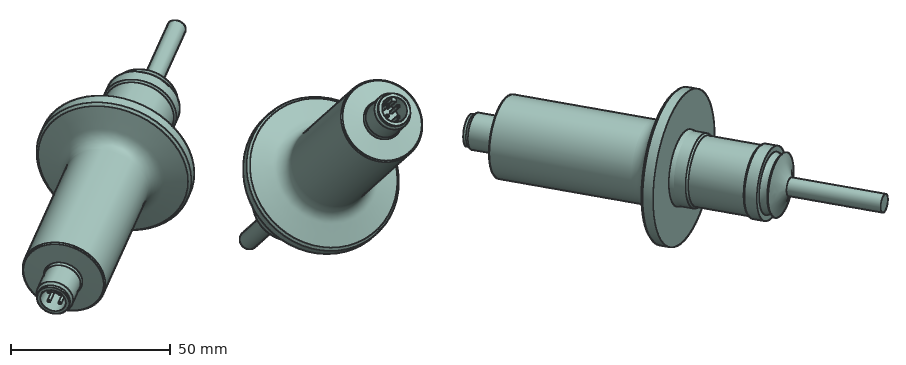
import cadquery as cq

overall_length = 140.7

mouth_radius = 10.5 / 2
thread_radius = 12.0 / 2
bore_radius = 8.3 / 2
nose_length = 1.0
thread_front_y = 2.0
thread_rear_y = 10.4
base_radius = 6.3
bore_depth = 8.5
pin_radius = 1.0 / 2
pin_circle_radius = 2.5
pin_length = 7.0
pin_count = 4
pin_first_angle = 45.0
pin_tip_chamfer = 0.1
key_width = 1.4
key_inner_radius = 2.8
key_front_y = 0.5
key_overlap = 0.4

housing_radius = 27.0 / 2
housing_edge = 0.4
housing_front_y = 12.0
face_center_y = 11.4
housing_rear_y = 60.5

flange_radius = 50.5 / 2
flange_front_y = 68.4
flange_rear_y = 72.7
flange_chamfer = 0.8
cone_small_radius = 17.5
cone_small_y = 65.8

sleeve_radius = 22.8 / 2
collar_radius = 24.0 / 2
collar_chamfer = collar_radius - sleeve_radius
root_radius = 12.4
root_front_y = 74.3
front_collar_rear_y = 79.0
rear_collar_front_y = 97.6
rear_collar_rear_y = 102.4

neck_radius = 9.7
neck_root_radius = 10.1
neck_mid_y = 103.5
lip_radius = 21.0 / 2
lip_front_y = 105.0
lip_rear_y = 105.7
cable_radius = 6.0 / 2
cable_front_y = 108.8
flare_mid_radius = 6.0
flare_mid_y = 107.0


def make_body():
    """Half outline of the turned body, from the mouth to the cable end, spun about Y."""
    outline = (
        cq.Workplane("XY")
        .moveTo(0, 0)
        .lineTo(mouth_radius, 0)
        .lineTo(mouth_radius, nose_length)
        .lineTo(thread_radius, thread_front_y)
        .lineTo(thread_radius, thread_rear_y)
        .lineTo(base_radius, face_center_y)
        .lineTo(housing_radius - housing_edge, housing_front_y)
        .lineTo(housing_radius, housing_front_y + housing_edge)
        .lineTo(housing_radius, housing_rear_y)
        .tangentArcPoint((cone_small_radius, cone_small_y), relative=False)
        .lineTo(flange_radius - flange_chamfer, flange_front_y)
        .lineTo(flange_radius, flange_front_y + flange_chamfer)
        .lineTo(flange_radius, flange_rear_y)
        .lineTo(root_radius, flange_rear_y)
        .lineTo(collar_radius, root_front_y)
        .lineTo(collar_radius, front_collar_rear_y - collar_chamfer)
        .lineTo(sleeve_radius, front_collar_rear_y)
        .lineTo(sleeve_radius, rear_collar_front_y)
        .lineTo(collar_radius, rear_collar_front_y + collar_chamfer)
        .lineTo(collar_radius, rear_collar_rear_y)
        .lineTo(neck_root_radius, rear_collar_rear_y)
        .threePointArc((neck_radius, neck_mid_y), (neck_radius, lip_front_y))
        .lineTo(lip_radius, lip_rear_y)
        .threePointArc((flare_mid_radius, flare_mid_y), (cable_radius, cable_front_y))
        .lineTo(cable_radius, overall_length)
        .lineTo(0, overall_length)
        .close()
    )
    return outline.revolve(360, (0, 0, 0), (0, 1, 0))


def make_bore():
    """Round connector socket, open at the mouth."""
    return cq.Workplane("XZ").circle(bore_radius).extrude(-bore_depth)


def make_key():
    """Coding key on the upper bore wall, running the full depth just behind the mouth."""
    key_height = bore_radius + key_overlap - key_inner_radius
    key_length = bore_depth - key_front_y
    return (
        cq.Workplane("XY", origin=(0, key_front_y, key_inner_radius))
        .box(key_width, key_length, key_height, centered=(True, False, False))
    )


def make_pins():
    """Contact pins standing on the socket floor, with chamfered tips."""
    return (
        cq.Workplane("XZ", origin=(0, bore_depth, 0))
        .polarArray(pin_circle_radius, pin_first_angle, 360, pin_count)
        .circle(pin_radius)
        .extrude(pin_length)
        .faces("<Y")
        .chamfer(pin_tip_chamfer)
    )


result = make_body().cut(make_bore()).union(make_key()).union(make_pins())